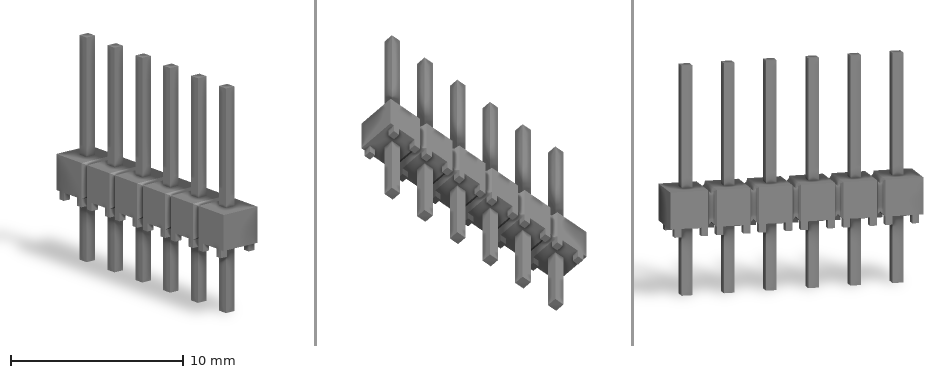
import cadquery as cq

pin_count = 6
row_length = 15.24
pitch = row_length / pin_count
pin_width = 0.64
pin_above_body = 7.27
pin_below_body = 4.19

body_depth = 2.55
body_height = 2.2

groove_half_width = 0.26
groove_depth = 0.26
side_floor_half_width = 0.14

foot_width = 0.41
foot_depth = 0.45
foot_height = 0.5
foot_outer_reach = pitch / 2 - groove_half_width

pin_positions = [(i - (pin_count - 1) / 2) * pitch for i in range(pin_count)]
groove_positions = [x + pitch / 2 for x in pin_positions[:-1]]


def make_pin(x):
    """Square pin passing through the body at x."""
    pin_length = pin_above_body + body_height + pin_below_body
    return (
        cq.Workplane("XY", origin=(x, 0, -pin_below_body))
        .rect(pin_width, pin_width)
        .extrude(pin_length)
    )


def make_feet(x):
    """Four feet around the pin at x, flush with the body's front and back faces."""
    foot_x = foot_outer_reach - foot_width / 2
    foot_y = (body_depth - foot_depth) / 2
    return (
        cq.Workplane("XY", origin=(x, 0, 0))
        .rect(2 * foot_x, 2 * foot_y, forConstruction=True)
        .vertices()
        .rect(foot_width, foot_depth)
        .extrude(-foot_height)
    )


def cut_break_groove(body, x):
    """Cut V grooves across the top and bottom and flat-floored grooves down both sides at x."""
    for side in (-1, 1):
        face_z = body_height / 2 * (1 + side)
        v_groove = (
            cq.Workplane("XZ")
            .moveTo(x - groove_half_width, face_z)
            .lineTo(x, face_z - side * groove_depth)
            .lineTo(x + groove_half_width, face_z)
            .close()
            .extrude(body_depth / 2, both=True)
        )

        face_y = side * body_depth / 2
        floor_y = face_y - side * groove_depth
        side_groove = (
            cq.Workplane("XY")
            .moveTo(x - groove_half_width, face_y)
            .lineTo(x - side_floor_half_width, floor_y)
            .lineTo(x + side_floor_half_width, floor_y)
            .lineTo(x + groove_half_width, face_y)
            .close()
            .extrude(body_height)
        )
        body = body.cut(v_groove).cut(side_groove)
    return body


result = cq.Workplane("XY").box(row_length, body_depth, body_height, centered=(True, True, False))

for groove_x in groove_positions:
    result = cut_break_groove(result, groove_x)

for pin_x in pin_positions:
    result = result.union(make_feet(pin_x)).union(make_pin(pin_x))